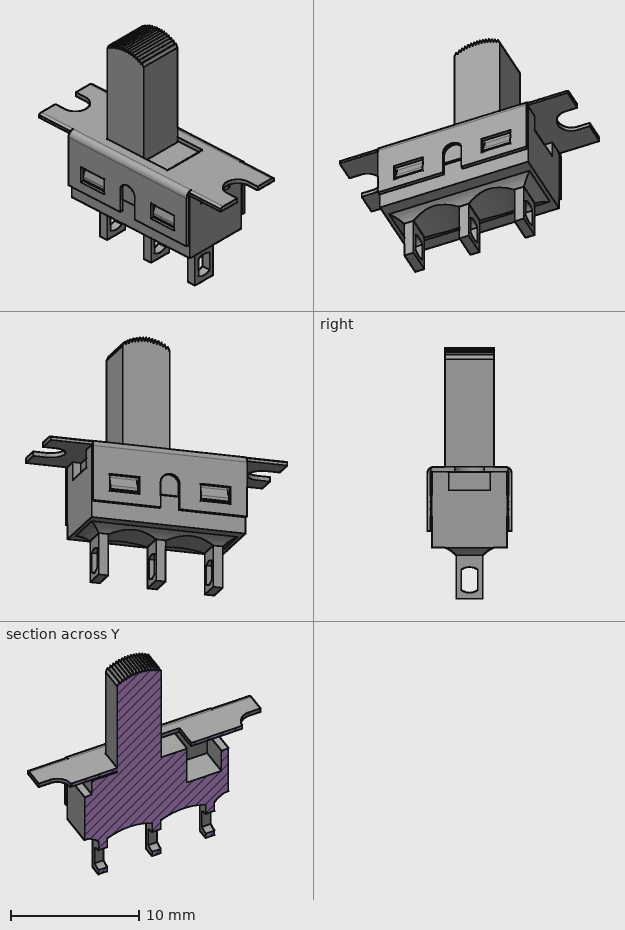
import cadquery as cq
import math


plate_length = 19.55
plate_thickness = 0.37
shell_width = 6.6
wall_thickness = 0.27
wall_bottom = -5.02
bend_radius = 0.53
tab_width = shell_width - 2 * wall_thickness
tab_edge_radius = 0.4
tab_edge_drop = 0.127

notch_radius = 1.15
notch_depth = 2.2

opening_left = -3.47
opening_right = 3.05
opening_width = 3.98

body_length = 12.7
body_width = 5.86
body_bottom = -6.31
cavity_length = 11.41
cavity_width = 4.78
cavity_floor = -3.92
end_gap_width = 3.25
end_gap_floor = -1.85

window_spacing = 7.51
window_length = 2.51
window_top = -2.73
window_bottom = -4.14
latch_length = 2.25
latch_top = -2.88
latch_edge = -3.6
latch_bottom = -3.9
latch_reach = 0.24

arch_top = -2.2
slot_radius = 0.78
boss_radius = 0.75
boss_bottom = latch_bottom
boss_reach = 0.18

knob_length = 3.9
knob_width = 3.86
knob_right = opening_left + knob_length
knob_center = (opening_left + knob_right) / 2
knob_shoulder = 8.4
knob_top = 9.3
valley_top = 8.96
crest_radius = 3.14
tooth_count = 15
tooth_pitch = 0.25
slider_top = -0.43
slider_left = -cavity_length / 2
slider_right = 2.69

terminal_pitch = 4.73
terminal_thickness = 0.78
terminal_width = 2.08
terminal_bottom = -10.31
eye_width = 1.25
eye_top = -7.85
eye_bottom = -9.82
eye_sagitta = 0.2

resin_bottom = -6.92
resin_collar = 0.02
resin_length = 12.05
resin_width = 3.88
resin_bulge = 0.08
resin_arch_height = -6.51


def block(x_range, width, z_range):
    """Box centred on Y, between two X values and two Z values."""
    length = x_range[1] - x_range[0]
    height = z_range[1] - z_range[0]
    corner = (x_range[0], -width / 2, z_range[0])
    return cq.Workplane("XY").box(length, width, height, centered=False).translate(corner)


def centred_block(length, width, z_range):
    return block((-length / 2, length / 2), width, z_range)


def along_y(outline, width):
    """Extrude an XZ outline symmetrically about Y = 0."""
    return outline.extrude(width / 2, both=True)


def along_x(outline, length):
    """Extrude a YZ outline symmetrically about X = 0."""
    return outline.extrude(length / 2, both=True)


def arch(radius, bottom, width):
    """Round-topped upright bar running through the part in Y."""
    center = arch_top - radius
    outline = (
        cq.Workplane("XZ")
        .moveTo(-radius, bottom)
        .lineTo(-radius, center)
        .threePointArc((0, arch_top), (radius, center))
        .lineTo(radius, bottom)
        .close()
    )
    return along_y(outline, width)


def make_shell():
    channel = centred_block(body_length, shell_width, (wall_bottom, 0))
    channel = channel.faces(">Z").edges("|X").fillet(bend_radius)
    channel = channel.cut(centred_block(body_length, tab_width, (wall_bottom, -plate_thickness)))

    half = tab_width / 2
    flat = half - tab_edge_radius * math.sin(math.acos(1 - tab_edge_drop / tab_edge_radius))
    plate_outline = (
        cq.Workplane("YZ")
        .moveTo(-half, -plate_thickness)
        .lineTo(half, -plate_thickness)
        .lineTo(half, -tab_edge_drop)
        .radiusArc((flat, 0), -tab_edge_radius)
        .lineTo(-flat, 0)
        .radiusArc((-half, -tab_edge_drop), -tab_edge_radius)
        .close()
    )
    shell = channel.union(along_x(plate_outline, plate_length))

    for side in (-1, 1):
        notch = (
            cq.Workplane("XY")
            .center(side * plate_length / 2, 0)
            .slot2D(2 * notch_depth, 2 * notch_radius)
            .extrude(-plate_thickness)
        )
        window_center = side * window_spacing / 2
        window_span = (window_center - window_length / 2, window_center + window_length / 2)
        shell = shell.cut(notch).cut(block(window_span, shell_width, (window_bottom, window_top)))

    shell = shell.cut(arch(slot_radius, wall_bottom, shell_width))
    opening = block((opening_left, opening_right), opening_width, (-plate_thickness, 0))
    return shell.cut(opening)


def make_latches(x_center):
    """Wedges on both body sides, sloping outward from the top to a blunt edge."""
    inner = body_width / 2
    outer = inner + latch_reach
    outline = cq.Workplane("YZ").polyline([
        (-inner, latch_top),
        (inner, latch_top),
        (outer, latch_edge),
        (outer, latch_bottom),
        (-outer, latch_bottom),
        (-outer, latch_edge),
    ]).close()
    return along_x(outline, latch_length).translate((x_center, 0, 0))


def make_body():
    body = centred_block(body_length, body_width, (body_bottom, -plate_thickness))
    body = body.union(arch(boss_radius, boss_bottom, body_width + 2 * boss_reach))
    for side in (-1, 1):
        body = body.union(make_latches(side * window_spacing / 2))
    cavity = centred_block(cavity_length, cavity_width, (cavity_floor, -plate_thickness))
    end_gaps = centred_block(body_length, end_gap_width, (end_gap_floor, -plate_thickness))
    return body.cut(cavity).cut(end_gaps)


def arc_height(x, top, radius):
    """Height at x of an arc about the knob axis that peaks at top."""
    return top - radius + math.sqrt(radius**2 - x**2)


def make_slider():
    half = knob_length / 2
    valley_sagitta = valley_top - knob_shoulder
    valley_radius = (half**2 + valley_sagitta**2) / (2 * valley_sagitta)

    crown = []
    for tooth in range(tooth_count):
        crest_x = (tooth - (tooth_count - 1) / 2) * tooth_pitch
        crown.append((crest_x, arc_height(crest_x, knob_top, crest_radius)))
        if tooth < tooth_count - 1:
            valley_x = crest_x + tooth_pitch / 2
            crown.append((valley_x, arc_height(valley_x, valley_top, valley_radius)))

    outline = [(half, slider_top), (-half, slider_top), (-half, knob_shoulder)]
    outline += crown
    outline.append((half, knob_shoulder))
    knob = along_y(cq.Workplane("XZ").polyline(outline).close(), knob_width)
    base = block((slider_left, slider_right), cavity_width, (cavity_floor, slider_top))
    return base.union(knob.translate((knob_center, 0, 0)))


def make_terminal(x_center):
    blade = centred_block(terminal_thickness, terminal_width, (terminal_bottom, body_bottom))
    half = eye_width / 2
    eye = (
        cq.Workplane("YZ")
        .moveTo(-half, eye_bottom + eye_sagitta)
        .lineTo(-half, eye_top - eye_sagitta)
        .threePointArc((0, eye_top), (half, eye_top - eye_sagitta))
        .lineTo(half, eye_bottom + eye_sagitta)
        .threePointArc((0, eye_bottom), (-half, eye_bottom + eye_sagitta))
        .close()
    )
    return blade.cut(along_x(eye, terminal_thickness)).translate((x_center, 0, 0))


def make_resin():
    """Resin flaring up from a thin collar round each terminal, arched between terminals."""
    flare_height = (body_bottom + resin_bottom) / 2 + resin_bulge

    end = resin_length / 2
    collar = terminal_thickness / 2 + resin_collar
    outer_collar = terminal_pitch + collar
    flare_x = (end + outer_collar) / 2
    arch_x = terminal_pitch / 2
    lengthwise = (
        cq.Workplane("XZ")
        .moveTo(-end, body_bottom)
        .threePointArc((-flare_x, flare_height), (-outer_collar, resin_bottom))
        .lineTo(-terminal_pitch + collar, resin_bottom)
        .threePointArc((-arch_x, resin_arch_height), (-collar, resin_bottom))
        .lineTo(collar, resin_bottom)
        .threePointArc((arch_x, resin_arch_height), (terminal_pitch - collar, resin_bottom))
        .lineTo(outer_collar, resin_bottom)
        .threePointArc((flare_x, flare_height), (end, body_bottom))
        .close()
    )

    side = resin_width / 2
    side_collar = terminal_width / 2 + resin_collar
    flare_y = (side + side_collar) / 2
    crosswise = (
        cq.Workplane("YZ")
        .moveTo(-side, body_bottom)
        .threePointArc((-flare_y, flare_height), (-side_collar, resin_bottom))
        .lineTo(side_collar, resin_bottom)
        .threePointArc((flare_y, flare_height), (side, body_bottom))
        .close()
    )
    return along_y(lengthwise, resin_width).intersect(along_x(crosswise, resin_length))


result = make_body().union(make_shell()).union(make_slider()).union(make_resin())
for position in (-1, 0, 1):
    result = result.union(make_terminal(position * terminal_pitch))